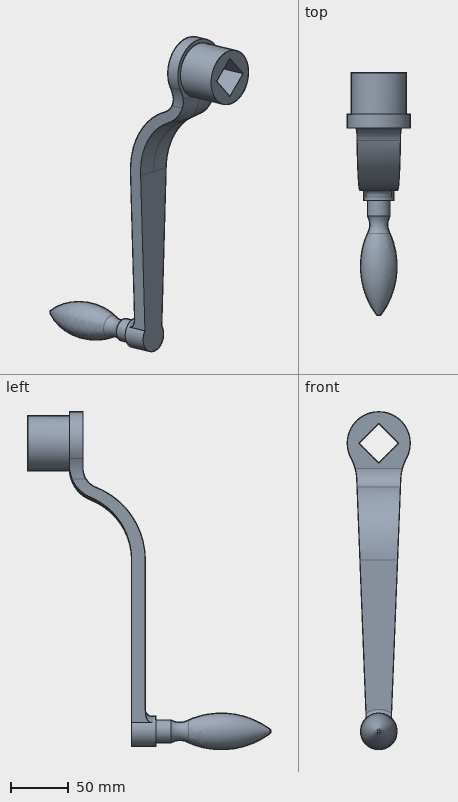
import cadquery as cq
import math

EYE_RADIUS = 27.45
PLATE_THICKNESS = 12.0
HUB_RADIUS = 24.0
HUB_BACK = 48.0
SQUARE_SIDE = 24.0

CRANK_LENGTH = 250.0
ARM_OFFSET = 54.0
BEND_START = 22.0
BEND_END = 101.3
UPPER_BEND_RADIUS = 17.3
BEND_END_HALF_WIDTH = 16.5
BOSS_HALF_WIDTH = 10.5
EYE_BLEND_RADIUS = 41.0

CROWN_HALF_SPAN = 29.3
CROWN_DROP = 3.5
UPPER_MIDDLE_DROP = 2.3
LOWER_MIDDLE_DROP = 1.5

BOSS_RADIUS = 13.2
BOSS_HEIGHT = 9.0
BOSS_FILLET = 6.0

SHANK_RADIUS = 10.0
SHANK_LENGTH = 13.2
NECK_RADIUS = 8.0
NECK_LENGTH = 15.3
GRIP_RADIUS = 16.0
GRIP_PEAK = 56.5
TIP_RADIUS = 2.3
TIP_ROUNDING = 1.2
HANDLE_LENGTH = 99.8

ARM_FRONT = -ARM_OFFSET
ARM_BACK = ARM_FRONT + PLATE_THICKNESS
BOSS_FRONT = ARM_FRONT - BOSS_HEIGHT


def cylinder_y(radius, front, back, z=0):
    """Cylinder along Y between two Y positions."""
    return cq.Workplane("XZ", origin=(0, back, 0)).center(0, z).circle(radius).extrude(back - front)


def bend_profile(workplane, crown):
    """S-bend section in the YZ plane; crown (0 to 1) scales the thinning of its rear."""
    turn = 2 * math.atan(ARM_OFFSET / (BEND_END - BEND_START))
    lower_radius = (BEND_END - BEND_START) / math.sin(turn) - UPPER_BEND_RADIUS

    def upper_point(radius, angle):
        return (
            -UPPER_BEND_RADIUS + radius * math.cos(angle),
            -BEND_START - radius * math.sin(angle),
        )

    def lower_point(radius, angle):
        return (
            ARM_FRONT + lower_radius - radius * math.cos(angle),
            -BEND_END + radius * math.sin(angle),
        )

    upper_back = UPPER_BEND_RADIUS + PLATE_THICKNESS
    lower_back = lower_radius - PLATE_THICKNESS
    return (
        workplane
        .moveTo(0, EYE_RADIUS)
        .lineTo(0, -BEND_START)
        .threePointArc(upper_point(UPPER_BEND_RADIUS, turn / 2), upper_point(UPPER_BEND_RADIUS, turn))
        .threePointArc(lower_point(lower_radius, turn / 2), (ARM_FRONT, -BEND_END))
        .lineTo(ARM_FRONT, -CRANK_LENGTH)
        .lineTo(ARM_BACK, -CRANK_LENGTH)
        .lineTo(ARM_BACK, -BEND_END)
        .threePointArc(
            lower_point(lower_back + crown * LOWER_MIDDLE_DROP, turn / 2),
            lower_point(lower_back + crown * CROWN_DROP, turn),
        )
        .threePointArc(
            upper_point(upper_back - crown * UPPER_MIDDLE_DROP, turn / 2),
            (PLATE_THICKNESS, -BEND_START),
        )
        .lineTo(PLATE_THICKNESS, EYE_RADIUS)
        .close()
    )


def crowned_half(side):
    """Half of the S-bend slab, from the centre plane toward +X (side 1) or -X (side -1)."""
    centre = bend_profile(cq.Workplane("YZ"), 0)
    centre_and_side = bend_profile(centre.workplane(offset=side * CROWN_HALF_SPAN), 1)
    return centre_and_side.loft(ruled=True)


def arm_front_outline():
    """Round eye blended into the tapering arm, as a prism along Y."""
    slope = (BEND_END_HALF_WIDTH - BOSS_HALF_WIDTH) / (CRANK_LENGTH - BEND_END)
    half_width_at_axis = BEND_END_HALF_WIDTH + slope * BEND_END
    taper = math.atan(slope)

    axis_to_edge = half_width_at_axis * math.cos(taper)
    centre_distance = EYE_RADIUS + EYE_BLEND_RADIUS
    centre_angle = math.acos((axis_to_edge + EYE_BLEND_RADIUS) / centre_distance) + taper
    centre_x = centre_distance * math.cos(centre_angle)
    centre_z = -centre_distance * math.sin(centre_angle)
    eye_x = EYE_RADIUS * math.cos(centre_angle)
    eye_z = -EYE_RADIUS * math.sin(centre_angle)
    edge_x = centre_x - EYE_BLEND_RADIUS * math.cos(taper)
    edge_z = centre_z + EYE_BLEND_RADIUS * math.sin(taper)
    middle_angle = (centre_angle + taper) / 2
    middle_x = centre_x - EYE_BLEND_RADIUS * math.cos(middle_angle)
    middle_z = centre_z + EYE_BLEND_RADIUS * math.sin(middle_angle)

    return (
        cq.Workplane("XZ", origin=(0, PLATE_THICKNESS, 0))
        .moveTo(eye_x, eye_z)
        .threePointArc((0, EYE_RADIUS), (-eye_x, eye_z))
        .threePointArc((-middle_x, middle_z), (-edge_x, edge_z))
        .lineTo(-BOSS_HALF_WIDTH, -CRANK_LENGTH)
        .lineTo(BOSS_HALF_WIDTH, -CRANK_LENGTH)
        .lineTo(edge_x, edge_z)
        .threePointArc((middle_x, middle_z), (eye_x, eye_z))
        .close()
        .extrude(PLATE_THICKNESS - BOSS_FRONT)
    )


def boss_flare():
    """Full round flare from the boss to the arm face, before trimming to the arm width."""
    flare_radius = BOSS_RADIUS + BOSS_FILLET
    mid_gap = BOSS_FILLET * (1 - math.sqrt(0.5))
    profile = (
        cq.Workplane("XY", origin=(0, 0, -CRANK_LENGTH))
        .moveTo(0, ARM_FRONT)
        .lineTo(flare_radius, ARM_FRONT)
        .threePointArc(
            (BOSS_RADIUS + mid_gap, ARM_FRONT - mid_gap),
            (BOSS_RADIUS, ARM_FRONT - BOSS_FILLET),
        )
        .lineTo(0, ARM_FRONT - BOSS_FILLET)
        .close()
    )
    return profile.revolve(360, (0, 0, 0), (0, 1, 0))


def handle():
    """Turned handle: shank, waisted neck and tapering grip."""

    def station(radius, distance):
        return (radius, BOSS_FRONT - distance)

    neck_end = SHANK_LENGTH + NECK_LENGTH
    profile = (
        cq.Workplane("XY", origin=(0, 0, -CRANK_LENGTH))
        .moveTo(*station(0, 0))
        .lineTo(*station(SHANK_RADIUS, 0))
        .lineTo(*station(SHANK_RADIUS, SHANK_LENGTH))
        .threePointArc(
            station(NECK_RADIUS, SHANK_LENGTH + NECK_LENGTH / 2),
            station(SHANK_RADIUS, neck_end),
        )
        .threePointArc(
            station(GRIP_RADIUS, GRIP_PEAK),
            station(TIP_RADIUS, HANDLE_LENGTH - TIP_ROUNDING),
        )
        .lineTo(*station(TIP_RADIUS - TIP_ROUNDING, HANDLE_LENGTH))
        .lineTo(*station(0, HANDLE_LENGTH))
        .close()
    )
    return profile.revolve(360, (0, 0, 0), (0, 1, 0))


outline = arm_front_outline()
arm = crowned_half(1).union(crowned_half(-1)).intersect(outline)
flare = boss_flare().intersect(outline)
hub = cylinder_y(HUB_RADIUS, PLATE_THICKNESS, HUB_BACK)
boss = cylinder_y(BOSS_RADIUS, BOSS_FRONT, ARM_BACK, -CRANK_LENGTH)
square_hole = (
    cq.Workplane("XZ", origin=(0, HUB_BACK, 0))
    .transformed(rotate=(0, 0, 45))
    .rect(SQUARE_SIDE, SQUARE_SIDE)
    .extrude(HUB_BACK)
)

result = arm.union(hub).union(boss).union(flare).union(handle()).cut(square_hole)